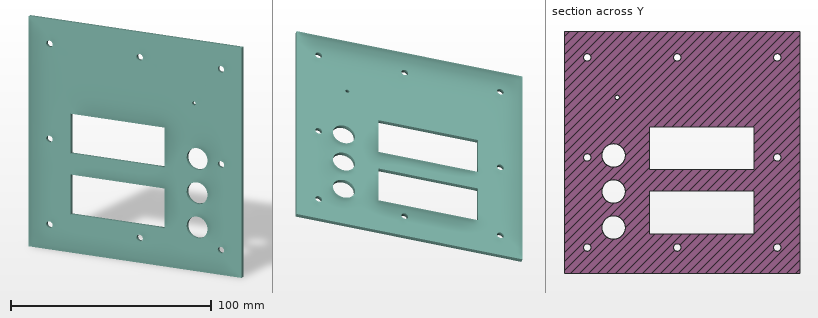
import cadquery as cq

plate_width = 118.0
plate_thickness = 2.0
plate_height = 121.0

screw_diameter = 3.5
screw_columns = (11.5, 61.5, 106.5)
screw_rows = (13.0, 58.0, 108.0)

window_width = 52.0
window_height = 21.0
window_centre_x = 49.25
lower_window_z = 30.5
window_pitch = 32.0
window_count = 2

button_diameter = 11.5
button_x = 93.3
lowest_button_z = 23.0
button_pitch = 18.0
button_count = 3

indicator_diameter = 2.0
indicator_position = (91.5, 88.0)


def stacked_points(x, first_z, pitch, count):
    """Points in a vertical row, evenly spaced upwards."""
    return [(x, first_z + i * pitch) for i in range(count)]


def front_face_sketch(points):
    """Workplane on the front face with the given (x, z) points selected."""
    return cq.Workplane("XZ").pushPoints(points)


def round_holes(points, diameter):
    """Cutters for round holes through the plate thickness."""
    return front_face_sketch(points).circle(diameter / 2).extrude(-plate_thickness)


def window_openings():
    """Cutters for the rectangular windows through the plate thickness."""
    centres = stacked_points(window_centre_x, lower_window_z, window_pitch, window_count)
    return front_face_sketch(centres).rect(window_width, window_height).extrude(-plate_thickness)


grid_centre = (screw_columns[1], screw_rows[1])
screw_points = [(x, z) for x in screw_columns for z in screw_rows if (x, z) != grid_centre]
button_points = stacked_points(button_x, lowest_button_z, button_pitch, button_count)

plate = cq.Workplane("XY").box(plate_width, plate_thickness, plate_height, centered=False)

result = (
    plate
    .cut(round_holes(screw_points, screw_diameter))
    .cut(window_openings())
    .cut(round_holes(button_points, button_diameter))
    .cut(round_holes([indicator_position], indicator_diameter))
)